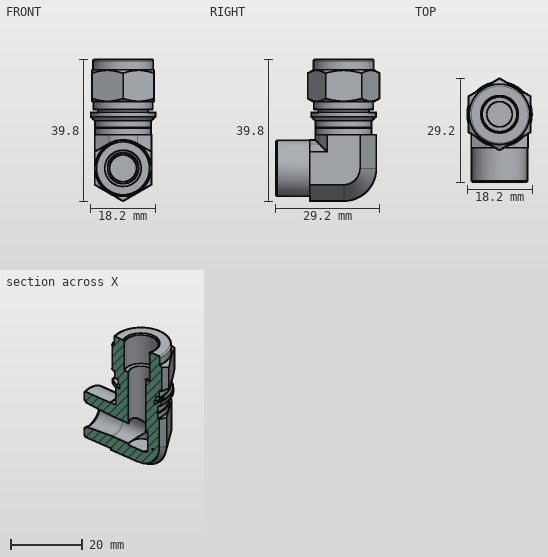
import cadquery as cq
import math


body_flats = 16.0
body_apothem = body_flats / 2
body_corner = body_flats / math.sqrt(3)
leg_length = 9.43

total_height = 39.78
tube_end = total_height - body_corner
port_end = 19.1

shank_diameter = 15.8
flange_diameter = 18.25
flange_rim_width = 0.2
dish_bottom_z = 13.53
neck_diameter = 14.3
relief_diameter = 13.05
neck_bottom_z = 14.88
shank_step_z = 11.18
step_chamfer = 0.3
flange_cone_z = 13.3
flange_bottom_z = 14.48
flange_top_z = 15.7

collar_diameter = 16.8
cap_diameter = 17.0
nut_flats = 17.5
nut_corner = nut_flats / math.sqrt(3)
nut_chamfer_slope = math.tan(math.radians(30))
collar_bottom_z = 16.45
nut_bottom_z = 18.6
nut_top_z = 27.6
cap_fillet = 0.48
collar_fillet = 0.35

port_diameter = 15.8
port_chamfer = 0.48

tube_bore_diameter = 9.75
tube_bore_depth = 9.95
tube_bore_chamfer = 0.4
tube_passage_diameter = 7.12
port_mouth_diameter = 10.22
port_taper_diameter = 8.7
port_passage_diameter = 7.5


def turned(points):
    """Solid of revolution about Z from (radius, z) points."""
    return cq.Workplane("XZ").polyline(points).close().revolve(360, (0, 0, 0), (0, 1, 0))


def vertical_cylinder(diameter, bottom, top):
    return cq.Workplane("XY", origin=(0, 0, bottom)).circle(diameter / 2).extrude(top - bottom)


def to_port(solid):
    """Turn a solid built along +Z so that it points along -Y."""
    return solid.rotate((0, 0, 0), (1, 0, 0), 90)


def hex_leg():
    """Leg along Z: a hexagon whose inner (-Y) corner is rounded tangent to its faces."""
    tangent_x = body_apothem / 2
    tangent_y = -body_apothem * math.sqrt(3) / 2
    return (
        cq.Workplane("XY")
        .moveTo(0, body_corner)
        .lineTo(body_apothem, body_corner / 2)
        .lineTo(body_apothem, -body_corner / 2)
        .lineTo(tangent_x, tangent_y)
        .threePointArc((0, -body_apothem), (-tangent_x, tangent_y))
        .lineTo(-body_apothem, -body_corner / 2)
        .lineTo(-body_apothem, body_corner / 2)
        .close()
        .extrude(leg_length)
    )


def elbow_body():
    upper_leg = hex_leg()
    port_leg = to_port(upper_leg).mirror("XY")
    bend = (
        cq.Workplane("XY")
        .moveTo(-body_apothem, 0)
        .lineTo(-body_apothem, body_corner / 2)
        .lineTo(0, body_corner)
        .lineTo(body_apothem, body_corner / 2)
        .lineTo(body_apothem, 0)
        .close()
        .revolve(90, (0, 0, 0), (-1, 0, 0))
    )
    return upper_leg.union(port_leg).union(bend)


def turned_neck():
    shank_radius = shank_diameter / 2
    flange_radius = flange_diameter / 2
    neck_radius = neck_diameter / 2
    relief_radius = relief_diameter / 2
    return turned([
        (0, 0),
        (body_apothem / 2, 0),
        (body_apothem / 2, leg_length),
        (shank_radius, leg_length),
        (shank_radius, shank_step_z),
        (shank_radius - step_chamfer, shank_step_z),
        (shank_radius, shank_step_z + step_chamfer),
        (shank_radius, flange_cone_z),
        (flange_radius, flange_bottom_z),
        (flange_radius, flange_top_z),
        (flange_radius - flange_rim_width, flange_top_z),
        (relief_radius, dish_bottom_z),
        (relief_radius, neck_bottom_z),
        (neck_radius, neck_bottom_z),
        (neck_radius, collar_bottom_z),
        (0, collar_bottom_z),
    ])


def nut():
    collar = vertical_cylinder(collar_diameter, collar_bottom_z, nut_bottom_z)
    collar = collar.faces("<Z").edges().fillet(collar_fillet)
    cap = vertical_cylinder(cap_diameter, nut_top_z, tube_end)
    cap = cap.faces(">Z").edges().fillet(cap_fillet)
    hexagon = (
        cq.Workplane("XY", origin=(0, 0, nut_bottom_z))
        .polygon(6, 2 * nut_corner)
        .extrude(nut_top_z - nut_bottom_z)
        .rotate((0, 0, 0), (0, 0, 1), 30)
    )
    bottom_rise = (nut_corner - collar_diameter / 2) * nut_chamfer_slope
    top_drop = (nut_corner - cap_diameter / 2) * nut_chamfer_slope
    envelope = turned([
        (0, nut_bottom_z),
        (collar_diameter / 2, nut_bottom_z),
        (nut_corner, nut_bottom_z + bottom_rise),
        (nut_corner, nut_top_z - top_drop),
        (cap_diameter / 2, nut_top_z),
        (0, nut_top_z),
    ])
    return hexagon.intersect(envelope).union(collar).union(cap)


def port_spigot():
    spigot = vertical_cylinder(port_diameter, 0, port_end)
    return to_port(spigot.faces(">Z").edges().chamfer(port_chamfer))


def tube_passage():
    """Stepped bore with a flat end level with the bottom of the port passage."""
    bore_radius = tube_bore_diameter / 2
    passage_radius = tube_passage_diameter / 2
    shoulder_z = tube_end - tube_bore_depth
    passage_end = -port_passage_diameter / 2
    return turned([
        (0, passage_end),
        (passage_radius, passage_end),
        (passage_radius, shoulder_z),
        (bore_radius, shoulder_z),
        (bore_radius, tube_end - tube_bore_chamfer),
        (bore_radius + tube_bore_chamfer, tube_end),
        (0, tube_end),
    ])


def port_passage():
    """Bevelled, tapering bore with a flat end just behind the tube passage."""
    mouth_radius = port_mouth_diameter / 2
    taper_radius = port_taper_diameter / 2
    passage_radius = port_passage_diameter / 2
    mouth_depth = mouth_radius - taper_radius
    passage_end = -port_passage_diameter / 2
    return to_port(turned([
        (0, passage_end),
        (passage_radius, passage_end),
        (passage_radius, leg_length),
        (taper_radius, port_end - mouth_depth),
        (mouth_radius, port_end),
        (0, port_end),
    ]))


outer_shape = elbow_body().union(turned_neck()).union(nut()).union(port_spigot())
result = outer_shape.cut(tube_passage()).cut(port_passage())